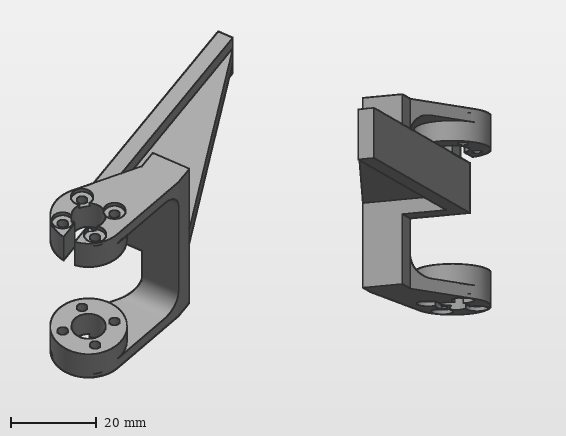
import cadquery as cq
import math

width = 25.0
length = 89.0
height = 45.6

boss_radius = 9.0
boss_height = 8.0
boss_x = width / 2
boss_y = boss_radius
bore_diameter = 8.0
screw_spacing = 8.8
screw_diameter = 2.5
counterbore_diameter = 5.25
counterbore_depth = 1.1
slot_width = 3.0

upright_left = 15.0
upright_front = 29.0
upright_thickness = 5.0
upright_back = upright_front + upright_thickness
arm_thickness = 3.2
inner_fillet = 5.0

beam_height = 12.0
beam_thickness = 4.0
web_thickness = 5.0
beam_bottom = (height - beam_height) / 2


def tangent_point(x, y, side):
    """Point where a line from (x, y) touches the boss circle; side is +1 (left) or -1 (right)."""
    dx = x - boss_x
    dy = y - boss_y
    angle = math.atan2(dy, dx) + side * math.acos(boss_radius / math.hypot(dx, dy))
    return (boss_x + boss_radius * math.cos(angle), boss_y + boss_radius * math.sin(angle))


def box(x0, x1, y0, y1, z0, z1):
    """Axis-aligned block between the given limits."""
    return cq.Workplane("XY").box(x1 - x0, y1 - y0, z1 - z0, centered=False).translate((x0, y0, z0))


def make_bracket():
    """C-shaped bracket: plan outline tapering to the bosses, with a rounded inner opening."""
    outline = (
        cq.Workplane("XY")
        .moveTo(upright_left, upright_back)
        .lineTo(upright_left, upright_front)
        .lineTo(*tangent_point(upright_left, upright_front, 1))
        .threePointArc((boss_x, boss_y - boss_radius), tangent_point(width, upright_front, -1))
        .lineTo(width, upright_front)
        .lineTo(width, upright_back)
        .close()
        .extrude(height)
    )
    opening = box(0, width, -inner_fillet, upright_front, arm_thickness, height - arm_thickness)
    opening = opening.edges(">Y and |X").fillet(inner_fillet)
    return outline.cut(opening)


def cylinder(x, y, diameter, z0, z1):
    """Vertical cylinder between two heights."""
    return cq.Workplane("XY", origin=(x, y, z0)).circle(diameter / 2).extrude(z1 - z0)


def make_beam():
    """Long beam with a foot reaching across the upright."""
    beam = box(0, beam_thickness, upright_front, length, beam_bottom, beam_bottom + beam_height)
    foot = box(0, width, upright_front, upright_back, beam_bottom, beam_bottom + beam_height)
    return beam.union(foot)


def make_web():
    """Thin triangular web, centred in the beam height, bracing the beam against the upright."""
    outline = [
        (0, upright_front),
        (width, upright_front),
        (width, upright_back),
        (beam_thickness, length),
        (0, length),
    ]
    web_bottom = (height - web_thickness) / 2
    return cq.Workplane("XY", origin=(0, 0, web_bottom)).polyline(outline).close().extrude(web_thickness)


result = make_bracket().union(make_beam()).union(make_web())

for boss_bottom in (0, height - boss_height):
    boss = cylinder(boss_x, boss_y, 2 * boss_radius, boss_bottom, boss_bottom + boss_height)
    result = result.union(boss)

result = result.cut(cylinder(boss_x, boss_y, bore_diameter, 0, height))
for x_side in (-1, 1):
    for y_side in (-1, 1):
        screw_x = boss_x + x_side * screw_spacing / 2
        screw_y = boss_y + y_side * screw_spacing / 2
        result = result.cut(cylinder(screw_x, screw_y, screw_diameter, 0, height))
        for z0, z1 in ((0, counterbore_depth), (height - counterbore_depth, height)):
            result = result.cut(cylinder(screw_x, screw_y, counterbore_diameter, z0, z1))

slot = box(boss_x - slot_width / 2, boss_x + slot_width / 2, 0, boss_y, height - boss_height, height)
result = result.cut(slot)